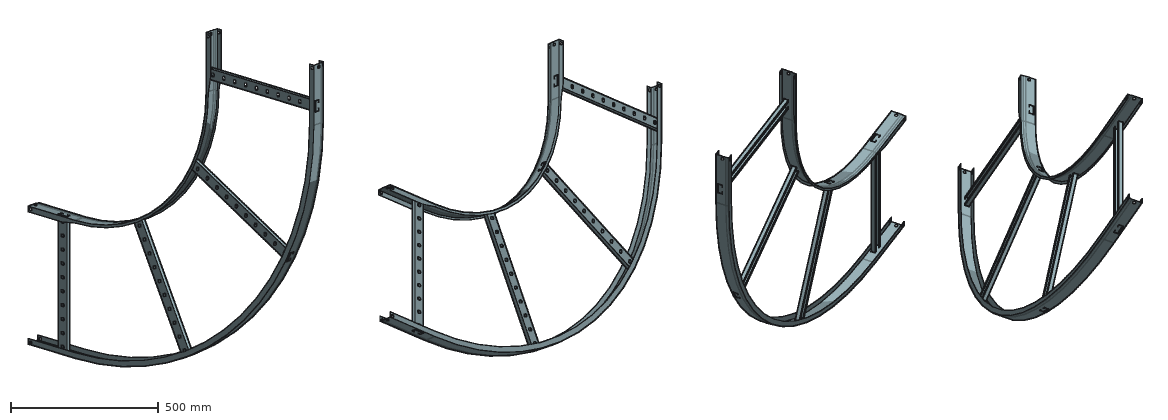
import cadquery as cq
import math


overall = 1318.0
straight = 216.0
inner_radius = 603.0
outer_radius = overall - straight
inner_height = 55.0
outer_height = 50.0
sheet = 1.6
flange = 21.0
joggle_start = 38.0
joggle_end = 46.0
joggle_step = 2.0
bend_flange = 10.0
taper_start = 155.0

hole_diameter = 10.0
hole_from_end = 12.0
web_hole_height = 25.0
flange_hole_depth = 9.0

rung_width = 41.0
rung_front = 9.0
rung_depth = 16.0
rung_back = rung_front + rung_depth
rung_lip = 10.0
end_rung_offset = straight - 150.0
bend_rung_angle = 27.4
tab_gap_start = 16.0
tab_gap_end = 21.0
slot_clearance = 3.0

slot_count = 10
slot_pitch = 50.0
slot_length = 15.0
slot_width = 10.0
slot_middle_radius = 852.0

rung_stations = [
    (0, end_rung_offset),
    (bend_rung_angle, 0),
    (90 - bend_rung_angle, 0),
    (90, -end_rung_offset),
]


def rail_section(web, side, height):
    """Closed (radius, y) outline of a channel whose flanges point to `side` of its web."""
    corners = [
        (0, 0),
        (flange, 0),
        (flange, sheet),
        (sheet, sheet),
        (sheet, joggle_start),
        (sheet + joggle_step, joggle_end),
        (sheet + joggle_step, height - sheet),
        (flange, height - sheet),
        (flange, height),
        (joggle_step, height),
        (joggle_step, joggle_end),
        (0, joggle_start),
    ]
    return [(web + side * depth, y) for depth, y in corners]


def at_both_ends(shape):
    """The shape at the upper rail end and its mirror image at the left rail end."""
    turned = shape.mirror("XY").rotate((0, 0, 0), (0, 1, 0), 90)
    return shape.union(turned)


def end_holes(web, side, height):
    """Drills for the web hole and the flange holes at both rail ends."""
    z = straight - hole_from_end
    web_drill = (
        cq.Workplane("YZ", origin=(web, 0, 0))
        .center(web_hole_height, z)
        .circle(hole_diameter / 2)
        .extrude(sheet, both=True)
    )
    flange_drill = (
        cq.Workplane("XZ")
        .center(web + side * flange_hole_depth, z)
        .circle(hole_diameter / 2)
        .extrude(-height)
    )
    return at_both_ends(web_drill.union(flange_drill))


def make_rail(web, side, height):
    """Straight, quarter bend and straight with one channel section."""
    section = rail_section(web, side, height)
    upper = cq.Workplane("XY").polyline(section).close().extrude(straight)
    bend = cq.Workplane("XY").polyline(section).close().revolve(90, (0, 0), (0, 1))
    rail = at_both_ends(upper).union(bend)
    return rail.cut(end_holes(web, side, height))


def flange_trim():
    """Region outside the narrowed flange edge of the inner rail."""
    edge = inner_radius + bend_flange
    full = inner_radius + flange
    taper = straight - taper_start
    middle = edge * math.sqrt(0.5)
    return (
        cq.Workplane("XZ")
        .moveTo(full, taper)
        .lineTo(edge, 0)
        .threePointArc((middle, -middle), (0, -edge))
        .lineTo(-taper, -full)
        .lineTo(full, -full)
        .close()
        .extrude(-inner_height)
    )


def block(x_start, x_end, y_start, y_end, width):
    """Box centred on Z = 0 between the given X and Y limits."""
    size = (x_end - x_start, y_end - y_start, width)
    box = cq.Workplane("XY").box(*size, centered=(False, False, True))
    return box.translate((x_start, y_start, 0))


def rung_channel(x_start, x_end):
    """Lipped channel along X, open towards +Y."""
    channel = block(x_start, x_end, rung_front, rung_back, rung_width)
    hollow = block(x_start, x_end, rung_front + sheet, rung_back - sheet, rung_width - 2 * sheet)
    mouth = block(x_start, x_end, rung_back - sheet, rung_back, rung_width - 2 * rung_lip)
    return channel.cut(hollow).cut(mouth)


def rung_tabs(x_start, x_end):
    """End of a rung that goes through a web: its channel without the middle of its sides."""
    gap = block(x_start, x_end, tab_gap_start, tab_gap_end, rung_width)
    return rung_channel(x_start, x_end).cut(gap)


def web_cutter(x_start, x_end):
    """Opening in a web for the tabs of one rung, with clearance underneath."""
    clearance = block(x_start, x_end, rung_front - slot_clearance, rung_front, rung_width)
    return rung_tabs(x_start, x_end).union(clearance)


def chord_reach(radius):
    """Distance at which the corners of a flat rung end meet an arc of this radius."""
    return math.sqrt(radius ** 2 - (rung_width / 2) ** 2)


def make_rung():
    """One rung along X, ending in tabs inside both webs."""
    start = inner_radius + sheet
    end = chord_reach(outer_radius - sheet)
    slots = (
        cq.Workplane("XZ", origin=(slot_middle_radius, rung_front, 0))
        .rarray(slot_pitch, 13, slot_count, 1)
        .slot2D(slot_length, slot_width, 90)
        .extrude(-sheet)
    )
    return (
        rung_channel(start, end)
        .union(rung_tabs(inner_radius, start))
        .union(rung_tabs(end, chord_reach(outer_radius)))
        .cut(slots)
    )


def place(shape, station):
    """Move a shape made along X to a rung station."""
    angle, offset = station
    return shape.translate((0, 0, offset)).rotate((0, 0, 0), (0, 1, 0), angle)


def to_final_position(body):
    """Solid moved from the bend-centre origin to where the bend lies."""
    return body.translate((straight, 0, overall - straight)).val()


inner_rail = make_rail(inner_radius, 1, inner_height).cut(flange_trim())
outer_rail = make_rail(outer_radius, -1, outer_height)
inner_opening = web_cutter(inner_radius - sheet, inner_radius + 2 * sheet)
outer_opening = web_cutter(outer_radius - 2 * sheet, outer_radius + sheet)
rung = make_rung()

rungs = []
for station in rung_stations:
    inner_rail = inner_rail.cut(place(inner_opening, station))
    outer_rail = outer_rail.cut(place(outer_opening, station))
    rungs.append(place(rung, station))

bodies = [inner_rail, outer_rail, *rungs]
result = cq.Compound.makeCompound([to_final_position(body) for body in bodies])